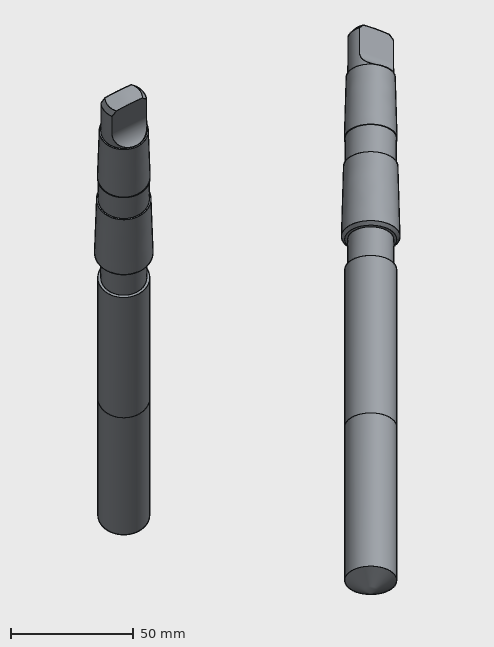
import cadquery as cq
import math

total_length = 273.0
body_joint_z = 81.0
neck_bottom_z = 157.8
taper_bottom_z = 172.5
groove_bottom_z = 208.0
groove_top_z = 221.7
tang_root_z = 251.5

drill_diameter = 21.3
point_angle = 118.0
drill_radius = drill_diameter / 2
point_height = drill_radius / math.tan(math.radians(point_angle / 2))

neck_diameter = 18.8
groove_diameter = 21.0
taper_large_diameter = 24.0
taper_ratio = 1 / 20
taper_edge_chamfer = 1.5
taper_large_z = taper_bottom_z + taper_edge_chamfer
neck_radius = neck_diameter / 2
groove_radius = groove_diameter / 2
taper_large_radius = taper_large_diameter / 2

tang_diameter = 18.8
tang_thickness = 8.5
tang_angle = -17.0
tang_flat_length = 14.2
tang_fillet_radius = 7.6
tang_crown_radius = 7.6
tang_crown_height = 0.5
tang_edge_height = 2.2
tang_radius = tang_diameter / 2
tang_crown_z = total_length - tang_crown_height


def taper_radius(z):
    """Radius of the tapered surface at height z."""
    return taper_large_radius - (z - taper_large_z) * taper_ratio / 2


def revolve_profile(points):
    """Turn a closed outline of (radius, z) points about the Z axis."""
    return cq.Workplane("XZ").polyline(points).close().revolve(360, (0, 0), (0, 1))


def make_drill():
    """Cylindrical drill body with a conical point."""
    return revolve_profile([
        (0, 0),
        (drill_radius, point_height),
        (drill_radius, body_joint_z),
        (0, body_joint_z),
    ])


def make_turned_shank():
    """Shank with neck, grooved taper and a round tang blank."""
    return revolve_profile([
        (0, body_joint_z),
        (drill_radius, body_joint_z),
        (drill_radius, neck_bottom_z),
        (neck_radius, neck_bottom_z),
        (neck_radius, taper_bottom_z),
        (taper_large_radius - taper_edge_chamfer, taper_bottom_z),
        (taper_large_radius, taper_large_z),
        (taper_radius(groove_bottom_z), groove_bottom_z),
        (groove_radius, groove_bottom_z),
        (groove_radius, groove_top_z),
        (taper_radius(groove_top_z), groove_top_z),
        (taper_radius(tang_root_z), tang_root_z),
        (tang_radius, tang_root_z),
        (tang_radius, tang_crown_z - tang_edge_height),
        (tang_crown_radius, tang_crown_z),
        (0, total_length),
    ])


def make_flat_cutter():
    """Cutter for one tang flat, ending in a concave fillet at its foot."""
    flat_x = tang_thickness / 2
    fillet_center_x = flat_x + tang_fillet_radius
    fillet_center_z = total_length - tang_flat_length
    arc_offset = tang_fillet_radius * math.sqrt(0.5)
    return (
        cq.Workplane("XZ")
        .moveTo(flat_x, total_length)
        .lineTo(flat_x, fillet_center_z)
        .threePointArc(
            (fillet_center_x - arc_offset, fillet_center_z - arc_offset),
            (fillet_center_x, fillet_center_z - tang_fillet_radius),
        )
        .lineTo(fillet_center_x, total_length)
        .close()
        .extrude(tang_diameter, both=True)
    )


def make_shank():
    """Turned shank with a flat on each side of the tang."""
    shank = make_turned_shank()
    flat_cutter = make_flat_cutter()
    for side_angle in (0, 180):
        turn = tang_angle + side_angle
        shank = shank.cut(flat_cutter.rotate((0, 0, 0), (0, 0, 1), turn))
    return shank


drill = make_drill()
shank = make_shank()

result = cq.Compound.makeCompound([drill.val(), shank.val()])